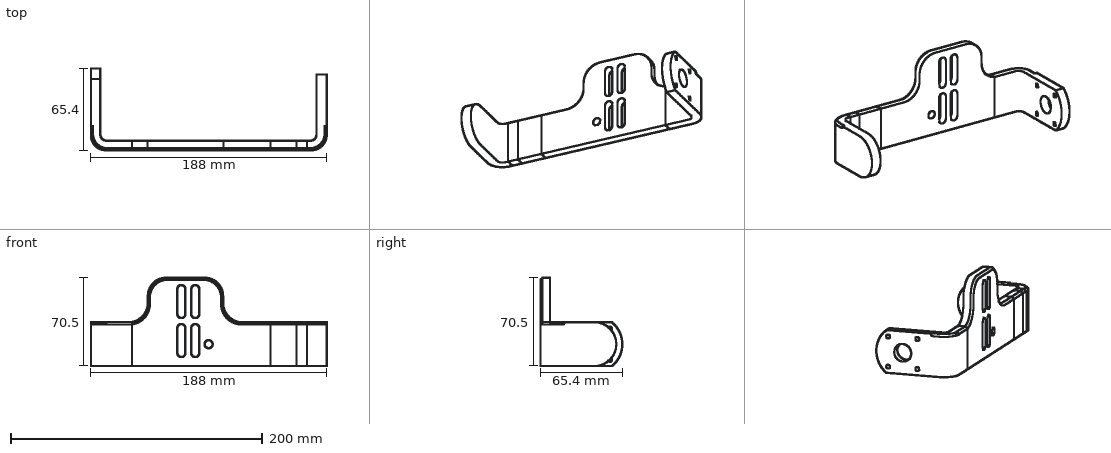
import cadquery as cq
import math

length = 188.0
height = 70.5
arm_height = 35.0
plate_thickness = 7.9
left_arm_thickness = 7.7
right_arm_thickness = 8.5

left_bend_radius = 12.6
right_bend_radius = 13.0
left_inner_radius = left_bend_radius - plate_thickness
right_inner_radius = right_bend_radius - right_arm_thickness

left_joint = 32.9
tongue_joint = 142.9
spacer_joint = 163.7
right_joint = 172.2

tongue_radius = 15.0
tail_length = 2.6
tongue_left = left_joint - tail_length + tongue_radius
tongue_width = 60.2
tongue_right = tongue_left + tongue_width

tail_end = left_bend_radius
tail_start = tail_end - tail_length
tail_rise = tongue_radius - math.sqrt(tongue_radius**2 - tail_length**2)
half_tail = tail_length / 2
half_tail_rise = tongue_radius - math.sqrt(tongue_radius**2 - half_tail**2)
step_height = arm_height + tail_rise

chamfer = 1.9
chamfer_end_top = 19.5
chamfer_end_bottom = 18.5

hinge_y = 43.0
hinge_z = arm_height / 2
left_end_radius = 22.4
right_end_radius = arm_height / 2
left_arm_reach = hinge_y + left_end_radius

hub_diameter = 14.3
screw_diameter = 3.2
screw_spacing = 24.6

slot_width = 6.2
slot_length = 26.1
slot_spacing_x = 11.0
slot_spacing_z = 31.0
slots_center_x = 77.6
slots_center_z = 36.0
plate_hole_x = 93.8
plate_hole_diameter = 6.2


def box(x_min, x_max, y_min, y_max, z_max):
    """Block standing on the base plane between the given limits."""
    return cq.Workplane("XY").box(
        x_max - x_min, y_max - y_min, z_max, centered=False
    ).translate((x_min, y_min, 0))


def folded_strip():
    """U-shaped strip with rounded bends, as tall as the tongue everywhere."""
    outside = box(0, length, 0, left_arm_reach, height)
    outside = outside.edges("|Z and <X and <Y").fillet(left_bend_radius)
    outside = outside.edges("|Z and >X and <Y").fillet(right_bend_radius)
    inside = box(
        left_arm_thickness, length - right_arm_thickness, plate_thickness, left_arm_reach, height
    )
    inside = inside.edges("|Z and <X and <Y").fillet(left_inner_radius)
    inside = inside.edges("|Z and >X and <Y").fillet(right_inner_radius)
    return outside.cut(inside)


def fillet_point(center_x, center_z, degrees):
    """Point on a tongue fillet at an angle measured from +X towards +Z."""
    angle = math.radians(degrees)
    return (center_x + tongue_radius * math.cos(angle), center_z + tongue_radius * math.sin(angle))


def front_outline():
    """Block with the stepped top outline in X and Z, as deep as the strip."""
    low_z = arm_height + tongue_radius
    high_z = height - tongue_radius
    outline = (
        cq.Workplane("XZ")
        .moveTo(0, 0)
        .lineTo(length, 0)
        .lineTo(length, arm_height)
        .lineTo(tongue_right + tongue_radius, arm_height)
        .threePointArc(fillet_point(tongue_right + tongue_radius, low_z, 225), (tongue_right, low_z))
        .lineTo(tongue_right, high_z)
        .threePointArc(
            fillet_point(tongue_right - tongue_radius, high_z, 45), (tongue_right - tongue_radius, height)
        )
        .lineTo(tongue_left + tongue_radius, height)
        .threePointArc(fillet_point(tongue_left + tongue_radius, high_z, 135), (tongue_left, high_z))
        .lineTo(tongue_left, low_z)
        .threePointArc(fillet_point(tongue_left - tongue_radius, low_z, 315), (left_joint, step_height))
        .lineTo(tail_end, step_height)
        .threePointArc((tail_start + half_tail, arm_height + half_tail_rise), (tail_start, arm_height))
        .lineTo(0, arm_height)
        .close()
    )
    return outline.extrude(-left_arm_reach)


def slice_x(body, x_min, x_max):
    """Part of a body that lies between two planes across X."""
    return body.intersect(box(x_min, x_max, 0, left_arm_reach, height))


def chamfer_run(body, edge_point):
    """Chamfer the edge nearest to a point, together with the edges that continue it smoothly."""
    nearest = cq.selectors.NearestToPointSelector(edge_point)
    return body.edges(nearest).chamfer(chamfer)


def behind_chamfer():
    """Space behind the sloping ends of the chamfer, where the arm edges stay sharp."""
    return (
        cq.Workplane("YZ")
        .moveTo(chamfer_end_bottom, 0)
        .lineTo(chamfer_end_bottom, arm_height - chamfer)
        .lineTo(chamfer_end_top, arm_height)
        .lineTo(left_arm_reach, arm_height)
        .lineTo(left_arm_reach, 0)
        .close()
        .extrude(length)
    )


def rounded_end(radius):
    """Tool as long as the strip that ends an arm in an arc about the hinge axis."""
    arc = cq.Workplane("YZ").center(hinge_y, hinge_z).circle(radius).extrude(length)
    return arc.union(box(0, length, 0, hinge_y, height))


def left_strip(sharp):
    """Left arm, bend, step and front plate up to the left joint, with their chamfers."""
    sharp_corner = slice_x(sharp, 0, tail_start)
    arm_edge = (0, hinge_y, arm_height)
    corner = chamfer_run(sharp_corner, arm_edge).union(sharp_corner.intersect(behind_chamfer()))
    tail_edge = ((tail_start + tail_end) / 2, 0, step_height)
    tail = chamfer_run(slice_x(sharp, tail_start, tail_end), tail_edge)
    step_edge = ((tail_end + left_joint) / 2, 0, step_height)
    step = chamfer_run(slice_x(sharp, tail_end, left_joint), step_edge)
    return corner.union(tail).union(step)


def right_strip(sharp):
    """Tongue, front plate and right arm from the left joint on, with their chamfer."""
    sharp_part = slice_x(sharp, left_joint, length)
    arm_edge = (length, hinge_y, arm_height)
    return chamfer_run(sharp_part, arm_edge).union(sharp_part.intersect(behind_chamfer()))


def hinge_holes():
    """Hub hole and four screw holes along X through the left arm."""
    face = cq.Workplane("YZ").center(hinge_y, hinge_z)
    hub = face.circle(hub_diameter / 2).extrude(left_arm_thickness)
    screws = face.rect(screw_spacing, screw_spacing, forConstruction=True).vertices()
    return hub.union(screws.circle(screw_diameter / 2).extrude(left_arm_thickness))


def plate_openings():
    """Four upright slots and one round hole through the front plate."""
    face = cq.Workplane("XZ").center(slots_center_x, slots_center_z)
    slots = face.rarray(slot_spacing_x, slot_spacing_z, 2, 2).slot2D(slot_length, slot_width, 90)
    hole = cq.Workplane("XZ").center(plate_hole_x, hinge_z).circle(plate_hole_diameter / 2)
    return slots.extrude(-plate_thickness).union(hole.extrude(-plate_thickness))


def make_left_arm(strip):
    """Left arm with its bend and step, ended in an arc and drilled for the hinge."""
    return strip.intersect(rounded_end(left_end_radius)).cut(hinge_holes())


def make_tongue_plate(strip):
    """Middle of the front plate with the tongue, the slots and the round hole."""
    return slice_x(strip, left_joint, tongue_joint).cut(plate_openings())


def make_long_spacer(strip):
    """Plain stretch of the front plate beside the tongue plate."""
    return slice_x(strip, tongue_joint, spacer_joint)


def make_short_spacer(strip):
    """Plain stretch of the front plate beside the right arm."""
    return slice_x(strip, spacer_joint, right_joint)


def make_right_arm(strip):
    """Right arm with its bend and a fully rounded end."""
    return slice_x(strip, right_joint, length).intersect(rounded_end(right_end_radius))


sharp_strip = folded_strip().intersect(front_outline())
strip_left_of_joint = left_strip(sharp_strip)
strip_right_of_joint = right_strip(sharp_strip)

left_arm = make_left_arm(strip_left_of_joint)
tongue_plate = make_tongue_plate(strip_right_of_joint)
long_spacer = make_long_spacer(strip_right_of_joint)
short_spacer = make_short_spacer(strip_right_of_joint)
right_arm = make_right_arm(strip_right_of_joint)

bodies = [left_arm, tongue_plate, long_spacer, short_spacer, right_arm]
result = cq.Compound.makeCompound([body.solids().val() for body in bodies])